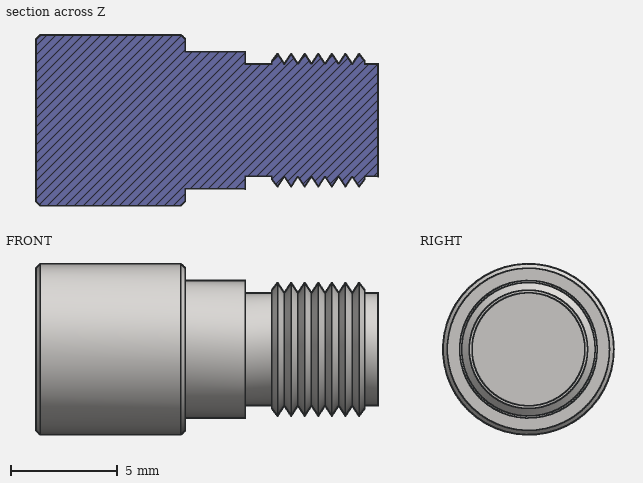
import cadquery as cq

total_length = 16.0
head_radius = 4.0
head_length = 7.0
head_chamfer = 0.2
collar_radius = 3.22
collar_end = 9.8
core_radius = 2.64

crest_count = 7
first_crest = 11.3
last_crest = 15.1
crest_radius = 3.12
end_flank_width = 0.27
end_flank_radius = 2.77

thread_pitch = (last_crest - first_crest) / (crest_count - 1)
thread_start = first_crest - end_flank_width
thread_end = last_crest + end_flank_width


def cylinder(start, end, radius):
    """Solid cylinder on the X axis."""
    return cq.Workplane("YZ").workplane(offset=start).circle(radius).extrude(end - start)


def threaded_section():
    """Revolved sawtooth outline with small upright shoulders at both ends."""
    points = [(thread_start, 0), (thread_start, end_flank_radius)]
    for index in range(crest_count):
        crest = first_crest + index * thread_pitch
        points.append((crest, crest_radius))
        if index < crest_count - 1:
            points.append((crest + thread_pitch / 2, core_radius))
    points += [(thread_end, end_flank_radius), (thread_end, 0)]
    return cq.Workplane("XY").polyline(points).close().revolve(360, (0, 0), (1, 0))


head = cylinder(0, head_length, head_radius).edges("%CIRCLE").chamfer(head_chamfer)
collar = cylinder(head_length, collar_end, collar_radius)
core = cylinder(collar_end, total_length, core_radius)

result = head.union(collar).union(core).union(threaded_section())